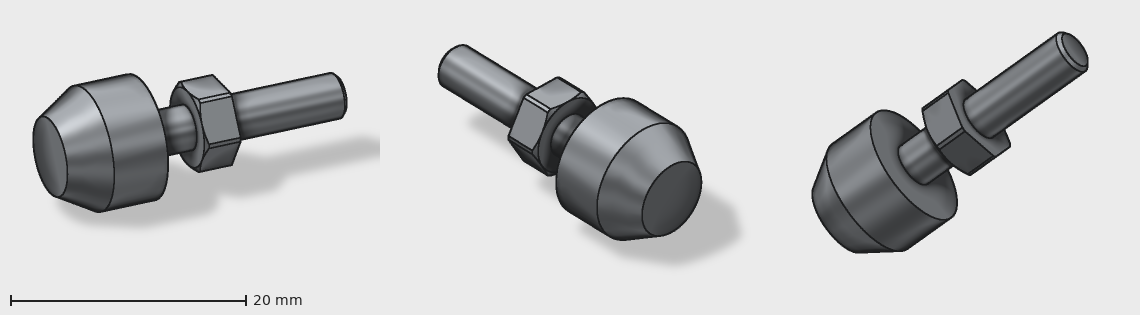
import cadquery as cq
import math


TOTAL_LENGTH = 27.0
HEAD_DIAMETER = 11.0
HEAD_LENGTH = 8.5
TIP_DIAMETER = 7.0
TAPER_ANGLE = 60.0
STUD_DIAMETER = 4.0
END_CHAMFER = 0.35

NUT_SIDES = 6
NUT_START = 12.8
NUT_THICKNESS = 3.2
NUT_ACROSS_FLATS = 7.0
NUT_CORNER_DIAMETER = 7.85
NUT_CHAMFER_ANGLE = 30.0

head_radius = HEAD_DIAMETER / 2
tip_radius = TIP_DIAMETER / 2
stud_radius = STUD_DIAMETER / 2
taper_length = (head_radius - tip_radius) * math.tan(math.radians(TAPER_ANGLE))


def revolve_about_y(points):
    """Turn a closed (radius, Y) outline about the Y axis."""
    return cq.Workplane("XY").polyline(points).close().revolve(360, (0, 0, 0), (0, 1, 0))


def cylinder_along_y(radius, start, length):
    """Solid cylinder on the Y axis, running from start toward +Y."""
    return cq.Workplane("XZ", origin=(0, start, 0)).circle(radius).extrude(-length)


def make_headed_stud():
    """Tapered round head with a plain stud and a chamfered free end."""
    return revolve_about_y([
        (0, 0),
        (tip_radius, 0),
        (head_radius, taper_length),
        (head_radius, HEAD_LENGTH),
        (stud_radius, HEAD_LENGTH),
        (stud_radius, TOTAL_LENGTH - END_CHAMFER),
        (stud_radius - END_CHAMFER, TOTAL_LENGTH),
        (0, TOTAL_LENGTH),
    ])


def make_nut():
    """Hexagon nut with trimmed corners, chamfered on the face toward the head."""
    across_corners = NUT_ACROSS_FLATS / math.cos(math.radians(180 / NUT_SIDES))
    hexagon = (
        cq.Workplane("XZ", origin=(0, NUT_START, 0))
        .polygon(NUT_SIDES, across_corners)
        .extrude(-NUT_THICKNESS)
    )
    face_radius = NUT_ACROSS_FLATS / 2
    corner_radius = NUT_CORNER_DIAMETER / 2
    chamfer_length = (corner_radius - face_radius) * math.tan(math.radians(NUT_CHAMFER_ANGLE))
    nut_end = NUT_START + NUT_THICKNESS
    turned_blank = revolve_about_y([
        (0, NUT_START),
        (face_radius, NUT_START),
        (corner_radius, NUT_START + chamfer_length),
        (corner_radius, nut_end),
        (0, nut_end),
    ])
    bore = cylinder_along_y(stud_radius, NUT_START, NUT_THICKNESS)
    return hexagon.intersect(turned_blank).cut(bore)


headed_stud = make_headed_stud()
nut = make_nut()

result = cq.Compound.makeCompound([headed_stud.val(), nut.solids().val()])